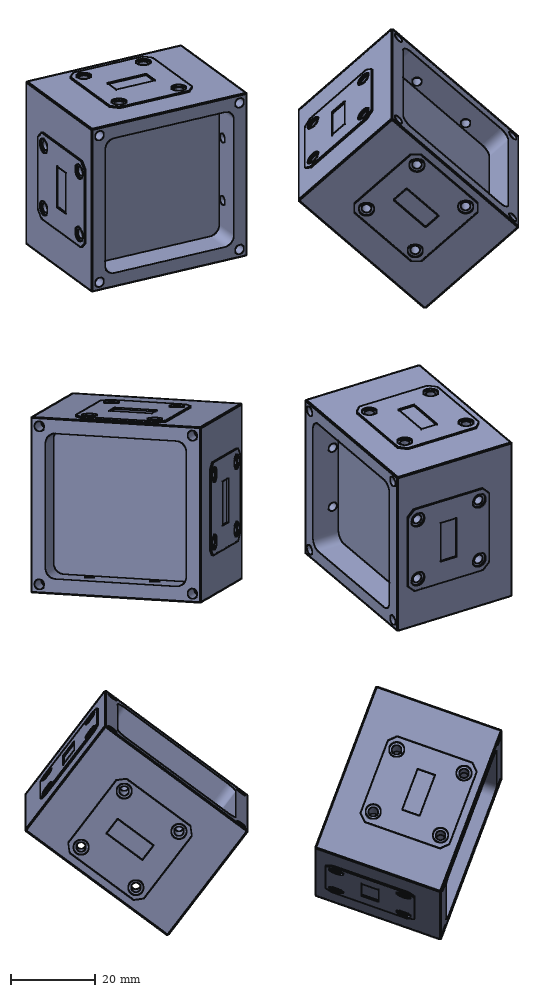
import cadquery as cq
import math

length = 31.75
width = 43.2
pad_height = 0.4
edge_chamfer = 0.25
block_width = width - 2 * pad_height

pocket_size = 35.05
pocket_radius = 2.5
near_pocket_depth = 6.35
far_pocket_depth = 7.05

cover_hole_spacing = 38.13
cover_hole_diameter = 2.4
cover_hole_depth = 5.2

pad_length = 22.4
pad_chamfer = 1.73
z_pad_offset = -2.55
y_pad_offset = 1.9

window_length = 10.65
window_width = 4.4
window_depth = pad_height

screw_spacing_x = 16.95
screw_spacing_across = 16.25
screw_diameter = 2.3
screw_depth = 6.05
counterbore_diameter = 3.63
counterbore_depth = 0.45

drill_point_angle = 118.0


def drill(diameter, depth):
    """Drill-shaped solid going down from Z = 0, with a conical point below the full-diameter depth."""
    radius = diameter / 2
    point_length = radius / math.tan(math.radians(drill_point_angle / 2))
    return (
        cq.Workplane("XZ")
        .lineTo(radius, 0)
        .lineTo(radius, -depth)
        .lineTo(0, -depth - point_length)
        .close()
        .revolve(360, (0, 0, 0), (0, 1, 0))
    )


def corner_points(spacing_u, spacing_v):
    """Corners of a centred rectangle."""
    return [(u * spacing_u / 2, v * spacing_v / 2) for u in (-1, 1) for v in (-1, 1)]


def flange_pad(center_x):
    """Raised pad on the +Z side, standing on the block face."""
    return (
        cq.Workplane("XY", origin=(center_x, 0, block_width / 2))
        .rect(pad_length, pad_length)
        .extrude(pad_height)
        .edges("|Z")
        .chamfer(pad_chamfer)
    )


def flange_cuts(center_x):
    """Window and counterbored screw holes of the pad on the +Z side."""
    pad_top = cq.Workplane("XY", origin=(center_x, 0, width / 2))
    cuts = pad_top.rect(window_width, window_length).extrude(-window_depth)
    screw_points = corner_points(screw_spacing_x, screw_spacing_across)
    counterbore_circles = pad_top.pushPoints(screw_points).circle(counterbore_diameter / 2)
    cuts = cuts.union(counterbore_circles.extrude(-counterbore_depth))
    screw_drill = drill(screw_diameter, screw_depth)
    for x, y in screw_points:
        cuts = cuts.union(screw_drill.translate((center_x + x, y, width / 2)))
    return cuts


def end_cuts(pocket_depth):
    """Pocket and corner screw holes of an end, cut downwards from Z = 0."""
    cuts = (
        cq.Workplane("XY")
        .rect(pocket_size, pocket_size)
        .extrude(-pocket_depth)
        .edges("|Z")
        .fillet(pocket_radius)
    )
    cover_drill = drill(cover_hole_diameter, cover_hole_depth)
    for x, y in corner_points(cover_hole_spacing, cover_hole_spacing):
        cuts = cuts.union(cover_drill.translate((x, y, 0)))
    return cuts


def turn_to_end(shape, side):
    """Turn a +Z shape to face along X and move it to the end on that side (-1 or +1)."""
    return shape.rotate((0, 0, 0), (0, 1, 0), side * 90).translate((side * length / 2, 0, 0))


result = cq.Workplane("XY").box(length, block_width, block_width).edges().chamfer(edge_chamfer)

pad_placements = [(0, z_pad_offset), (90, y_pad_offset), (180, z_pad_offset), (270, y_pad_offset)]
for angle, offset in pad_placements:
    result = result.union(flange_pad(offset).rotate((0, 0, 0), (1, 0, 0), angle))
for angle, offset in pad_placements:
    result = result.cut(flange_cuts(offset).rotate((0, 0, 0), (1, 0, 0), angle))

for side, depth in ((-1, near_pocket_depth), (1, far_pocket_depth)):
    result = result.cut(turn_to_end(end_cuts(depth), side))